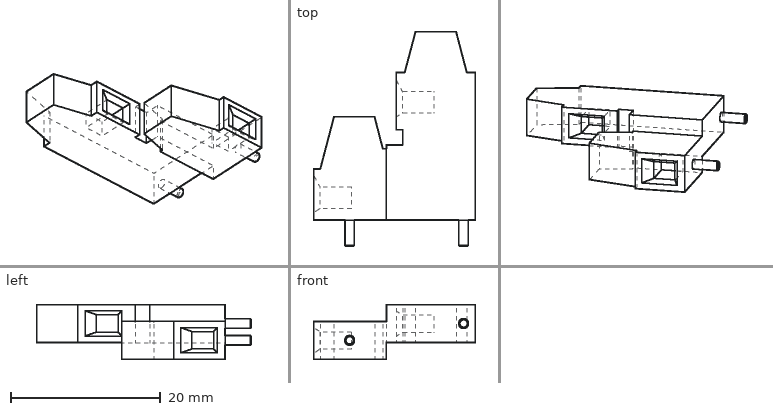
import cadquery as cq

housing_height = 5.08
level_rise = 2.25
total_width = 21.6
joint_x = 9.7

lower_left_shoulder_y = 6.84
lower_right_shoulder_y = 9.54
lower_top_y = 13.84
lower_left_shoulder_x = 0.86
lower_top_left_x = 2.7
lower_top_right_x = 8.14
lower_right_shoulder_x = 9.25

upper_top_y = 25.2
upper_shoulder_y = 19.74
upper_step_y = 10.05
notch_top_y = 12.05
notch_x = 11.87
upper_left_x = 11.02
upper_left_shoulder_x = 12.15
upper_top_left_x = 13.6
upper_top_right_x = 19.05
upper_right_shoulder_x = 20.48

mouth_length = 4.9
mouth_height = 3.37
throat_length = 2.9
throat_height = 2.33
mouth_depth = 0.8
throat_depth = 4.2
mouth_start_y = 1.05
mouth_start_z = 0.87
throat_offset_y = 0.5
throat_offset_z = 0.52
entry_pitch_y = 12.77

pin_diameter = 1.3
pin_length = 3.5
pin_tip_chamfer = 0.15
pin_embed = 1.0
pin_pitch = 15.24
lower_pin_x = 4.8
pin_z = housing_height / 2


def housing(outline, floor_z):
    """Extrude a closed XY outline up from the given floor."""
    return cq.Workplane("XY", origin=(0, 0, floor_z)).polyline(outline).close().extrude(housing_height)


def wire_entry(face_x, start_y, start_z):
    """Cutting body for one wire entry starting on the face X = face_x."""
    mouth_center_y = start_y + mouth_length / 2
    mouth_center_z = start_z + mouth_height / 2
    throat_center_y = start_y + throat_offset_y + throat_length / 2
    throat_center_z = start_z + throat_offset_z + throat_height / 2
    throat_shift = (throat_center_y - mouth_center_y, throat_center_z - mouth_center_z)
    mouth = (
        cq.Workplane("YZ", origin=(face_x, mouth_center_y, mouth_center_z))
        .rect(mouth_length, mouth_height)
        .workplane(offset=mouth_depth)
        .center(*throat_shift)
        .rect(throat_length, throat_height)
        .loft(ruled=True)
    )
    throat = (
        cq.Workplane("YZ", origin=(face_x + mouth_depth, throat_center_y, throat_center_z))
        .rect(throat_length, throat_height)
        .extrude(throat_depth)
    )
    return mouth.union(throat)


def pin(x, z):
    """Round pin along -Y with a chamfered tip."""
    return (
        cq.Workplane("XZ", origin=(x, pin_embed, z))
        .circle(pin_diameter / 2)
        .extrude(pin_embed + pin_length)
        .faces("<Y")
        .chamfer(pin_tip_chamfer)
    )


lower_outline = [
    (0, 0),
    (joint_x, 0),
    (joint_x, lower_right_shoulder_y),
    (lower_right_shoulder_x, lower_right_shoulder_y),
    (lower_top_right_x, lower_top_y),
    (lower_top_left_x, lower_top_y),
    (lower_left_shoulder_x, lower_left_shoulder_y),
    (0, lower_left_shoulder_y),
]

upper_outline = [
    (joint_x, 0),
    (total_width, 0),
    (total_width, upper_shoulder_y),
    (upper_right_shoulder_x, upper_shoulder_y),
    (upper_top_right_x, upper_top_y),
    (upper_top_left_x, upper_top_y),
    (upper_left_shoulder_x, upper_shoulder_y),
    (upper_left_x, upper_shoulder_y),
    (upper_left_x, notch_top_y),
    (notch_x, notch_top_y),
    (notch_x, upper_step_y),
    (joint_x, upper_step_y),
]

lower_entry = wire_entry(0, mouth_start_y, mouth_start_z)
upper_entry = wire_entry(upper_left_x, mouth_start_y + entry_pitch_y, level_rise + mouth_start_z)
body = housing(lower_outline, 0).union(housing(upper_outline, level_rise))
body = body.cut(lower_entry).cut(upper_entry)

lower_pin = pin(lower_pin_x, pin_z)
upper_pin = pin(lower_pin_x + pin_pitch, level_rise + pin_z)
result = body.union(lower_pin).union(upper_pin)